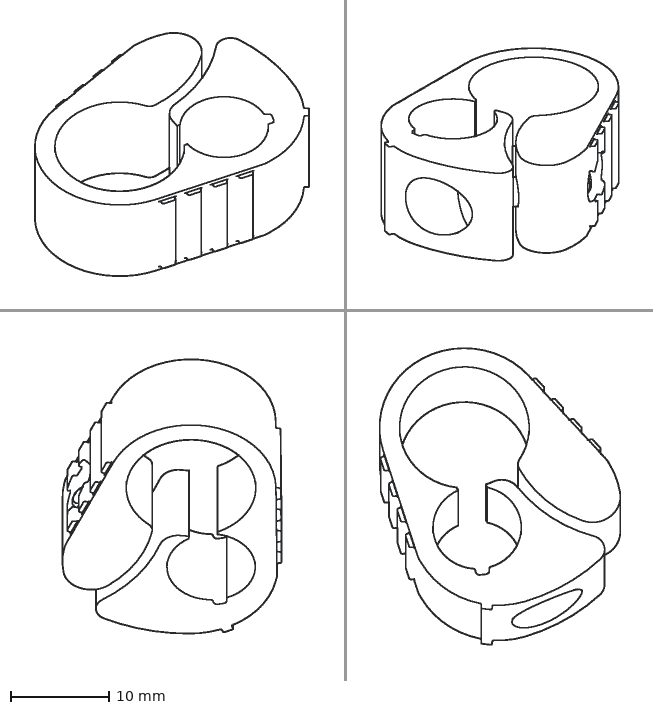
import cadquery as cq
import math

ORIGIN = (0, 0)

THICKNESS = 10.0
OUTER_RADIUS = 8.65
BORE_RADIUS = 6.6
CROWN_Y = 20.0

SIDE_RADIUS = 9.0
SIDE_X = 2.0
SIDE_Y = 10.8

SEAT_RADIUS = 4.5
SEAT_CENTRE = (4.15, 10.2)
THROAT_LEFT_X = 1.13
THROAT_RIGHT_X = 3.86

ARM_EDGE_CENTRE = (-14.8, 6.87)
ARM_EDGE_RADIUS = 12.1
ARM_TIP_RADIUS = 2.85
ARM_HEEL_RADIUS = 1.0

HOOK_EDGE_CENTRE = (-16.37, 6.22)
HOOK_EDGE_RADIUS = 14.94
HOOK_TIP_RADIUS = 1.5
HOOK_HEEL_RADIUS = 2.0

RIB_COUNT = 4
RIB_PITCH = 2.92
RIB_FIRST = 1.26
RIB_LENGTH = 1.56
RIB_PROUD = 0.48
RIB_HEIGHT = 9.1
RIB_ROUND = 0.22
RIB_FOOT = 0.2

KEY_ANGLE = 53.6
KEY_WIDTH = 1.13
KEY_RISE = 0.53
KEY_ROUND = 0.15
KEY_FOOT = 0.15
NOTCH_ANGLE = 67.6
NOTCH_WIDTH = 1.4
NOTCH_DEPTH = 0.77
NOTCH_ROUND = 0.4
NOTCH_FOOT = 0.3
TONGUE_ROOT = 0.3

SCREW_ANGLE = 48.0
SCREW_OFFSET = 12.19
SCREW_DIAMETER = 3.0
SCREW_HOLE_DIAMETER = 3.1
SCREW_CHAMFER = 0.3
SCREW_END = -0.95
SCREW_ROOT = 9.5
RECESS_DIAMETER = 4.9
RECESS_FLOOR = 0.785
HEAD_BORE_DIAMETER = 6.2
HEAD_BORE_FLOOR = 12.0
CUT_REACH = 12.0


def polar(centre, radius, angle):
    """Point on a circle; angle in radians."""
    return (centre[0] + radius * math.cos(angle), centre[1] + radius * math.sin(angle))


def bearing(start, end):
    """Direction from one point to another, in radians."""
    return math.atan2(end[1] - start[1], end[0] - start[0])


def meeting_point(c1, r1, c2, r2, side):
    """Crossing of two circles, left (+1) or right (-1) of the line from c1 to c2."""
    gap = math.dist(c1, c2)
    opening = math.acos((r1**2 + gap**2 - r2**2) / (2 * r1 * gap))
    return polar(c1, r1, bearing(c1, c2) + side * opening)


def toward(centre, radius, target):
    """Point on a circle in the direction of another point."""
    return polar(centre, radius, bearing(centre, target))


def mirrored(point):
    """Point reflected across the YZ plane."""
    return (-point[0], point[1])


def path_end(path):
    """Last point of an open path: a bare vector after a move, otherwise the end of its last edge."""
    last = path.val()
    point = last if isinstance(last, cq.Vector) else last.endPoint()
    return (point.x, point.y)


def arc(path, centre, end, turn):
    """Add an arc about a centre; turn is +1 counter-clockwise, -1 clockwise."""
    start = path_end(path)
    first = bearing(centre, start)
    sweep = (turn * (bearing(centre, end) - first)) % (2 * math.pi)
    middle = polar(centre, math.dist(centre, start), first + turn * sweep / 2)
    return path.threePointArc(middle, end)


SIDE_RIGHT = (SIDE_X, SIDE_Y)
SIDE_LEFT = mirrored(SIDE_RIGHT)
SIDE_END = (SIDE_X + SIDE_RADIUS, SIDE_Y)
FLANK_HIGH = (SIDE_END[0], SEAT_CENTRE[1])
FLANK_NORMAL = bearing(ORIGIN, FLANK_HIGH) - math.acos(OUTER_RADIUS / math.dist(ORIGIN, FLANK_HIGH))
FLANK_LOW = polar(ORIGIN, OUTER_RADIUS, FLANK_NORMAL)


def clip_outline():
    """Closed outline of the clip, one run round the outside, the hook, both seats and the arm."""
    rise = CROWN_Y - SIDE_Y
    crown_radius = (SIDE_X**2 + rise**2 - SIDE_RADIUS**2) / (2 * (rise - SIDE_RADIUS))
    crown = (0, CROWN_Y - crown_radius)
    crown_start = polar(SIDE_RIGHT, SIDE_RADIUS, bearing(crown, SIDE_RIGHT))

    hook_tip = meeting_point(
        HOOK_EDGE_CENTRE, HOOK_EDGE_RADIUS + HOOK_TIP_RADIUS, crown, crown_radius - HOOK_TIP_RADIUS, 1
    )
    hook_heel = meeting_point(
        HOOK_EDGE_CENTRE, HOOK_EDGE_RADIUS + HOOK_HEEL_RADIUS, ORIGIN, BORE_RADIUS + HOOK_HEEL_RADIUS, 1
    )
    arm_tip = meeting_point(
        ARM_EDGE_CENTRE, ARM_EDGE_RADIUS - ARM_TIP_RADIUS, SIDE_LEFT, SIDE_RADIUS - ARM_TIP_RADIUS, 1
    )
    arm_heel = meeting_point(
        ARM_EDGE_CENTRE, ARM_EDGE_RADIUS - ARM_HEEL_RADIUS, ORIGIN, BORE_RADIUS + ARM_HEEL_RADIUS, 1
    )

    def bore_y(x):
        return math.sqrt(BORE_RADIUS**2 - x**2)

    def seat_y(x):
        return SEAT_CENTRE[1] - math.sqrt(SEAT_RADIUS**2 - (x - SEAT_CENTRE[0]) ** 2)

    path = cq.Workplane("XY").moveTo(*mirrored(FLANK_LOW))
    path = arc(path, ORIGIN, FLANK_LOW, 1)
    path = path.lineTo(*FLANK_HIGH).lineTo(*SIDE_END)
    path = arc(path, SIDE_RIGHT, crown_start, 1)
    path = arc(path, crown, polar(hook_tip, HOOK_TIP_RADIUS, bearing(crown, hook_tip)), 1)

    path = arc(path, hook_tip, toward(hook_tip, HOOK_TIP_RADIUS, HOOK_EDGE_CENTRE), 1)
    path = arc(path, HOOK_EDGE_CENTRE, toward(hook_heel, HOOK_HEEL_RADIUS, HOOK_EDGE_CENTRE), -1)
    path = arc(path, hook_heel, toward(ORIGIN, BORE_RADIUS, hook_heel), 1)
    path = arc(path, ORIGIN, (THROAT_LEFT_X, bore_y(THROAT_LEFT_X)), -1)
    path = path.lineTo(THROAT_LEFT_X, seat_y(THROAT_LEFT_X))
    path = arc(path, SEAT_CENTRE, (THROAT_RIGHT_X, seat_y(THROAT_RIGHT_X)), -1)
    path = path.lineTo(THROAT_RIGHT_X, bore_y(THROAT_RIGHT_X))
    path = arc(path, ORIGIN, toward(ORIGIN, BORE_RADIUS, arm_heel), -1)

    path = arc(path, arm_heel, polar(arm_heel, ARM_HEEL_RADIUS, bearing(ARM_EDGE_CENTRE, arm_heel)), 1)
    path = arc(path, ARM_EDGE_CENTRE, polar(arm_tip, ARM_TIP_RADIUS, bearing(ARM_EDGE_CENTRE, arm_tip)), 1)
    path = arc(path, arm_tip, polar(arm_tip, ARM_TIP_RADIUS, bearing(SIDE_LEFT, arm_tip)), 1)
    path = arc(path, SIDE_LEFT, mirrored(SIDE_END), 1)
    return path.lineTo(*mirrored(FLANK_HIGH)).close()


def clip_body():
    """Clip without ribs, keys or screw holes."""
    return clip_outline().extrude(THICKNESS / 2, both=True)


def tongue(plane, width, rise, tip_round, foot, height):
    """Bar along Z rising along the plane's Y: rounded tip corners, concave fillets at its foot."""
    half = width / 2
    foot_mid = foot * (1 - math.sqrt(0.5))
    tip_mid = tip_round * (1 - math.sqrt(0.5))
    return (
        cq.Workplane(plane)
        .moveTo(-half - foot, -TONGUE_ROOT)
        .lineTo(half + foot, -TONGUE_ROOT)
        .lineTo(half + foot, 0)
        .threePointArc((half + foot_mid, foot_mid), (half, foot))
        .lineTo(half, rise - tip_round)
        .threePointArc((half - tip_mid, rise - tip_mid), (half - tip_round, rise))
        .lineTo(tip_round - half, rise)
        .threePointArc((tip_mid - half, rise - tip_mid), (-half, rise - tip_round))
        .lineTo(-half, foot)
        .threePointArc((-half - foot_mid, foot_mid), (-half - foot, 0))
        .close()
        .extrude(height / 2, both=True)
    )


def outward_plane(point, angle):
    """Plane across Z whose Y points outward at the given angle (radians)."""
    return cq.Plane(
        origin=(point[0], point[1], 0),
        xDir=(math.sin(angle), -math.cos(angle), 0),
        normal=(0, 0, 1),
    )


def flank_ribs():
    """Grip ribs standing on the right flank, evenly spaced from its lower end."""
    ribs = cq.Workplane("XY")
    for index in range(RIB_COUNT):
        foot_point = polar(FLANK_LOW, RIB_FIRST + index * RIB_PITCH, FLANK_NORMAL + math.pi / 2)
        plane = outward_plane(foot_point, FLANK_NORMAL)
        ribs = ribs.add(tongue(plane, RIB_LENGTH, RIB_PROUD, RIB_ROUND, RIB_FOOT, RIB_HEIGHT))
    return ribs.combine()


def arc_tongue(centre, radius, angle, width, rise, tip_round, foot):
    """Full-thickness tongue pointing outward from an arc, its feet meeting the arc."""
    direction = math.radians(angle)
    base = math.sqrt(radius**2 - (width / 2 + foot) ** 2)
    plane = outward_plane(polar(centre, base, direction), direction)
    return tongue(plane, width, rise, tip_round, foot, THICKNESS)


def outer_key():
    """Small key on the right shoulder."""
    return arc_tongue(SIDE_RIGHT, SIDE_RADIUS, KEY_ANGLE, KEY_WIDTH, KEY_RISE, KEY_ROUND, KEY_FOOT)


def seat_notch():
    """Groove in the wall of the small seat."""
    return arc_tongue(
        SEAT_CENTRE, SEAT_RADIUS, NOTCH_ANGLE, NOTCH_WIDTH, NOTCH_DEPTH, NOTCH_ROUND, NOTCH_FOOT
    )


def screw_cylinder(diameter, start, end):
    """Cylinder on the screw axis between two distances along it."""
    angle = math.radians(SCREW_ANGLE)
    foot = polar(ORIGIN, SCREW_OFFSET, angle + math.pi / 2)
    base = polar(foot, start, angle)
    plane = cq.Plane(
        origin=(base[0], base[1], 0),
        xDir=(0, 0, 1),
        normal=(math.cos(angle), math.sin(angle), 0),
    )
    return cq.Workplane(plane).circle(diameter / 2).extrude(end - start)


def screw():
    """Screw shank, chamfered at its free end and rooted in the hook."""
    return screw_cylinder(SCREW_DIAMETER, SCREW_END, SCREW_ROOT).faces("<X").chamfer(SCREW_CHAMFER)


ribs_right = flank_ribs()
result = (
    clip_body()
    .union(ribs_right)
    .union(ribs_right.mirror("YZ"))
    .union(outer_key())
    .cut(seat_notch())
    .cut(screw_cylinder(RECESS_DIAMETER, RECESS_FLOOR - CUT_REACH, RECESS_FLOOR))
    .cut(screw_cylinder(SCREW_HOLE_DIAMETER, RECESS_FLOOR, SCREW_ROOT))
    .cut(screw_cylinder(HEAD_BORE_DIAMETER, HEAD_BORE_FLOOR, HEAD_BORE_FLOOR + CUT_REACH))
    .union(screw())
)